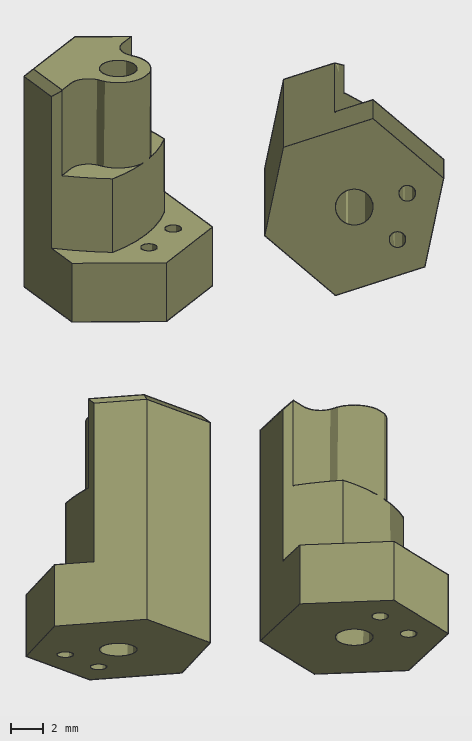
import cadquery as cq
import math

across_flats = 10.0
across_corners = across_flats / math.cos(math.radians(30))
total_height = 14.8
base_height = 4.0
top_chamfer = 0.5

side_start_x = -2.15
shoulder_x = 1.42
shoulder_y = 3.23
side_bulge = 0.1
front_x = 1.97

step_height = 9.0
wall_x = -1.51
tube_radius = 2.0
blend_radius = 1.25

bore_diameter = 2.3
pin_diameter = 1.0
pin_x = 3.0
pin_y = 1.51


def hexagon(height):
    """Hexagonal prism with flats facing -X and +X."""
    prism = cq.Workplane("XY").polygon(6, across_corners).extrude(height)
    return prism.rotate((0, 0, 0), (0, 0, 1), 30)


def post_envelope():
    """Full-height prism that limits the post on its curved sides."""
    side_start_y = across_corners / 2 + side_start_x * math.tan(math.radians(30))
    run = shoulder_x - side_start_x
    drop = side_start_y - shoulder_y
    chord = math.hypot(run, drop)
    side_mid_x = (side_start_x + shoulder_x) / 2 + side_bulge * drop / chord
    side_mid_y = (side_start_y + shoulder_y) / 2 + side_bulge * run / chord
    back_x = -across_flats
    return (
        cq.Workplane("XY")
        .moveTo(back_x, -across_corners)
        .lineTo(side_start_x, -across_corners)
        .lineTo(side_start_x, -side_start_y)
        .threePointArc((side_mid_x, -side_mid_y), (shoulder_x, -shoulder_y))
        .threePointArc((front_x, 0), (shoulder_x, shoulder_y))
        .threePointArc((side_mid_x, side_mid_y), (side_start_x, side_start_y))
        .lineTo(side_start_x, across_corners)
        .lineTo(back_x, across_corners)
        .close()
        .extrude(total_height)
    )


def step_cutter(side):
    """Material removed beside the tube; side is +1 for +Y and -1 for -Y."""
    blend_x = wall_x + blend_radius
    center_distance = tube_radius + blend_radius
    blend_y = math.sqrt(center_distance**2 - blend_x**2)
    tangent_x = blend_x * tube_radius / center_distance
    tangent_y = blend_y * tube_radius / center_distance
    wall_angle = math.pi
    tangent_angle = math.atan2(-blend_y, -blend_x) + 2 * math.pi
    mid_angle = (wall_angle + tangent_angle) / 2
    blend_mid_x = blend_x + blend_radius * math.cos(mid_angle)
    blend_mid_y = blend_y + blend_radius * math.sin(mid_angle)
    tube_mid = tube_radius * math.sqrt(0.5)
    return (
        cq.Workplane("XY", origin=(0, 0, step_height))
        .moveTo(wall_x, side * across_corners)
        .lineTo(wall_x, side * blend_y)
        .threePointArc((blend_mid_x, side * blend_mid_y), (tangent_x, side * tangent_y))
        .threePointArc((tube_mid, side * tube_mid), (tube_radius, 0))
        .lineTo(across_flats, 0)
        .lineTo(across_flats, side * across_corners)
        .close()
        .extrude(total_height - step_height)
    )


column = hexagon(total_height).faces(">Z").chamfer(top_chamfer)
post = column.intersect(post_envelope())
for side in (-1, 1):
    post = post.cut(step_cutter(side))
body = hexagon(base_height).union(post)

bore = cq.Workplane("XY").circle(bore_diameter / 2).extrude(total_height)
pin_holes = (
    cq.Workplane("XY")
    .pushPoints([(pin_x, -pin_y), (pin_x, pin_y)])
    .circle(pin_diameter / 2)
    .extrude(base_height)
)
result = body.cut(bore).cut(pin_holes)